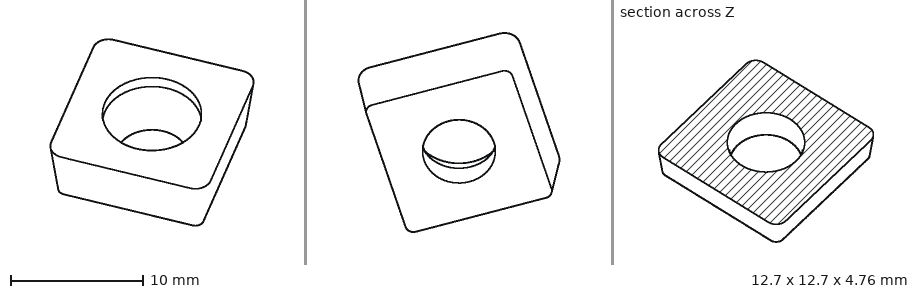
import cadquery as cq
import math

side = 12.7
thickness = 4.76
corner_radius = 1.22
clearance_angle = 7.0

hole_diameter = 5.5
seat_diameter = 7.49
seat_depth = 1.0
throat_depth = 3.4


def insert_body():
    """Rounded square, full size at the top and tapering towards the bottom."""
    return (
        cq.Workplane("XY")
        .workplane(offset=thickness)
        .sketch()
        .rect(side, side)
        .vertices()
        .fillet(corner_radius)
        .finalize()
        .extrude(-thickness, taper=clearance_angle)
    )


def screw_hole():
    """Revolved hole whose curved seat runs tangentially into the straight bore."""
    hole_radius = hole_diameter / 2
    seat_radius = seat_diameter / 2
    seat_z = thickness - seat_depth
    throat_z = thickness - throat_depth

    flare = seat_radius - hole_radius
    rise = seat_z - throat_z
    arc_radius = (flare**2 + rise**2) / (2 * flare)
    half_sweep = math.asin(rise / arc_radius) / 2
    arc_middle = (
        hole_radius + arc_radius * (1 - math.cos(half_sweep)),
        throat_z + arc_radius * math.sin(half_sweep),
    )

    return (
        cq.Workplane("XZ")
        .lineTo(hole_radius, 0)
        .lineTo(hole_radius, throat_z)
        .threePointArc(arc_middle, (seat_radius, seat_z))
        .lineTo(seat_radius, thickness)
        .lineTo(0, thickness)
        .close()
        .revolve(360, (0, 0, 0), (0, 1, 0))
    )


result = insert_body().cut(screw_hole())